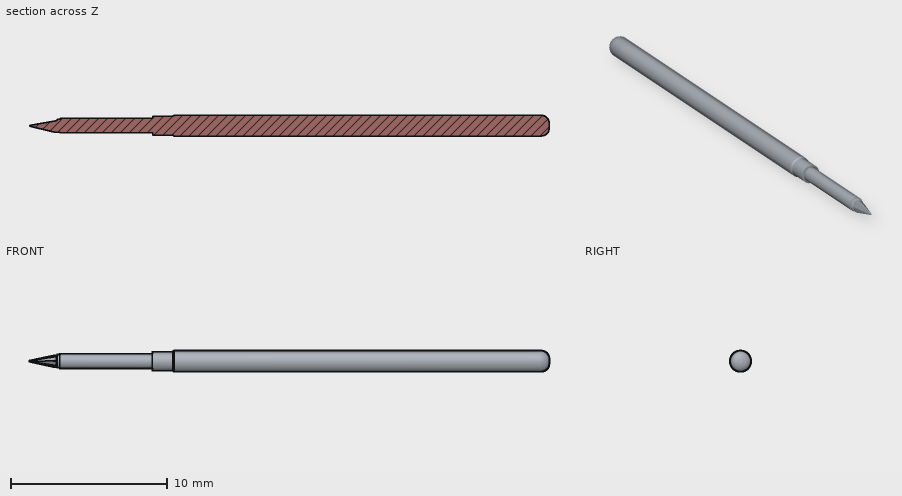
import cadquery as cq
import math

overall_length = 33.28
barrel_diameter = 1.37
collar_diameter = 1.23
plunger_diameter = 0.95
head_diameter = 0.86

shoulder_end = 1.79
shoulder_length = 0.08
shoulder_inner_diameter = 0.62
tip_corner_pairs = 3
sharp_corner_angle = 58
face_pair_bend = 26
tip_base_inradius = 0.335
tip_end_inradius = 0.03

head_end = 1.95
collar_start = 7.86
collar_length = 1.3
barrel_chamfer_length = 0.11
end_round_radius = 0.55

barrel_radius = barrel_diameter / 2
collar_radius = collar_diameter / 2
plunger_radius = plunger_diameter / 2
head_radius = head_diameter / 2
shoulder_inner_radius = shoulder_inner_diameter / 2

shoulder_start = shoulder_end - shoulder_length
collar_end = collar_start + collar_length
barrel_start = collar_end + barrel_chamfer_length
end_round_start = overall_length - end_round_radius
end_flat_radius = barrel_radius - end_round_radius


def revolve_about_x(points):
    """Solid of revolution from (distance along X, radius) points."""
    return cq.Workplane("XZ").polyline(points).close().revolve(360, (0, 0, 0), (1, 0, 0))


def make_turned_blank():
    """Plain-ended head, plunger, collar and round-ended barrel."""
    arc_offset = end_round_radius * math.sqrt(0.5)
    arc_middle = (end_round_start + arc_offset, end_flat_radius + arc_offset)
    profile = (
        cq.Workplane("XZ")
        .moveTo(0, 0)
        .lineTo(0, head_radius)
        .lineTo(head_end, head_radius)
        .lineTo(head_end, plunger_radius)
        .lineTo(collar_start, plunger_radius)
        .lineTo(collar_start, collar_radius)
        .lineTo(collar_end, collar_radius)
        .lineTo(barrel_start, barrel_radius)
        .lineTo(end_round_start, barrel_radius)
        .threePointArc(arc_middle, (overall_length, end_flat_radius))
        .lineTo(overall_length, 0)
        .close()
    )
    return profile.revolve(360, (0, 0, 0), (1, 0, 0))


def tip_section(inradius):
    """Corners of the point's cross-section, alternating sharp and blunt."""
    pair_pitch = 360 / tip_corner_pairs
    blunt_half_angle = face_pair_bend / 2
    sharp_half_angle = pair_pitch / 2 - blunt_half_angle
    corners = []
    for pair in range(tip_corner_pairs):
        sharp_angle = sharp_corner_angle + pair * pair_pitch
        blunt_angle = sharp_angle + pair_pitch / 2
        for angle, half_angle in ((sharp_angle, sharp_half_angle), (blunt_angle, blunt_half_angle)):
            distance = inradius / math.cos(math.radians(half_angle))
            direction = math.radians(angle)
            corners.append((distance * math.cos(direction), distance * math.sin(direction)))
    return corners


def make_point():
    """Tapered six-faced point; its base lies just inside the conical shoulder."""
    return (
        cq.Workplane("YZ")
        .polyline(tip_section(tip_end_inradius))
        .close()
        .workplane(offset=shoulder_end)
        .polyline(tip_section(tip_base_inradius))
        .close()
        .loft(ruled=True)
    )


def make_head_waste():
    """Material around the point, ending at the conical shoulder."""
    shoulder_slope = (head_radius - shoulder_inner_radius) / shoulder_length
    waste_radius = barrel_radius
    waste_end = shoulder_start + (waste_radius - shoulder_inner_radius) / shoulder_slope
    envelope = revolve_about_x(
        [
            (0, 0),
            (shoulder_start, 0),
            (shoulder_start, shoulder_inner_radius),
            (waste_end, waste_radius),
            (0, waste_radius),
        ]
    )
    return envelope.cut(make_point())


result = make_turned_blank().cut(make_head_waste())